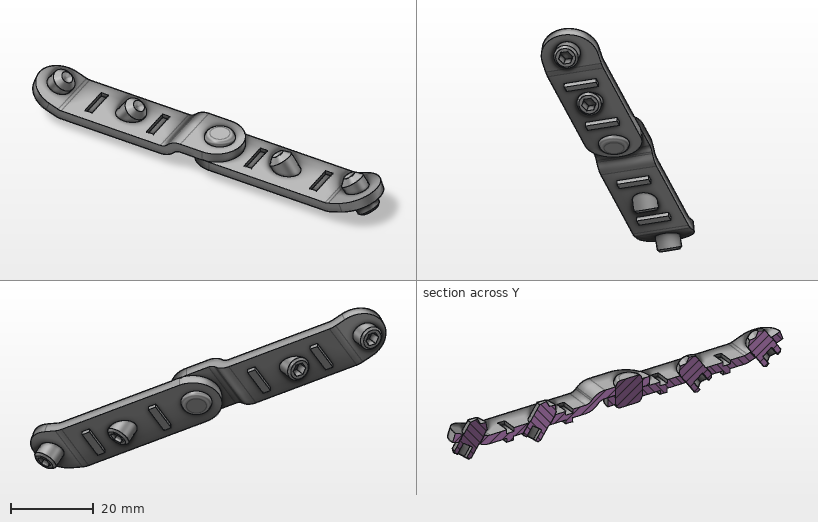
import cadquery as cq
import math

length = 95.1
plate_width = 14.0
thickness = 2.5
bend_radius = 2.5
end_radius = plate_width / 2

wing_angle = 20.0
left_bend_x = -36.8
right_bend_x = 36.3

step_x = -9.3
step_angle = 45.0

rivet_x = 3.2
end_overlap = 0.95
rivet_diameter = 7.5
rivet_projection = 1.3

tab_width = 2.0
tab_length = 8.0
tab_depth = 1.0
left_tab_xs = [-30.9, -13.9]
right_tab_xs = [13.2, 31.3]

screw_diameter = 6.0
screw_length = 10.0
screw_tilt = 35.0
cup_diameter = 3.0
cup_depth = 0.9
foot_chamfer = 0.6
socket_flats = 3.0
socket_depth = 3.0
inner_foot = (24.9, -2.2)
outer_foot = (44.8, -1.0)


def side_plane(x, z, heading):
    """Plane on the underside of a strip; its X axis follows the strip, tilted up by heading."""
    angle = math.radians(heading)
    return cq.Plane(
        origin=(x, 0, z),
        xDir=(math.cos(angle), 0, math.sin(angle)),
        normal=(-math.sin(angle), 0, math.cos(angle)),
    )


def straight_piece(plane, run):
    """Flat piece of strip that starts at the plane's origin."""
    return cq.Workplane(plane).rect(run, plate_width).extrude(thickness).translate(plane.xDir * (run / 2))


def round_ended_piece(plane, run):
    """Flat piece of strip whose far end is a half circle."""
    return (
        cq.Workplane(plane)
        .moveTo(0, -end_radius)
        .lineTo(run - end_radius, -end_radius)
        .threePointArc((run, 0), (run - end_radius, end_radius))
        .lineTo(0, end_radius)
        .close()
        .extrude(thickness)
    )


def bend_piece(plane, turn):
    """Bent piece of strip and the plane at its far end; a positive turn bends it upward."""
    if turn > 0:
        centre_height = thickness + bend_radius
    else:
        centre_height = -bend_radius
    axis_height = centre_height - thickness / 2
    section = cq.Plane(origin=plane.origin, xDir=plane.yDir, normal=plane.xDir)
    piece = (
        cq.Workplane(section)
        .center(0, thickness / 2)
        .rect(plate_width, thickness)
        .revolve(abs(turn), (0, axis_height), (-math.copysign(1, turn), axis_height))
    )
    centre = plane.toWorldCoords((0, 0, centre_height))
    far_plane = plane.rotated((0, -turn, 0))
    far_plane.origin = centre - far_plane.zDir * centre_height
    return piece, far_plane


def wing(bend_x):
    """Upward bend at bend_x and the round-ended wing that reaches the end of the part at +X."""
    bend, wing_plane = bend_piece(side_plane(bend_x, 0, 0), wing_angle)
    run = (length / 2 - wing_plane.origin.x) / wing_plane.xDir.x
    return bend.union(round_ended_piece(wing_plane, run))


def half_pierce(plate, tab_xs):
    """Press tabs down out of the plate."""
    for x in tab_xs:
        tab = cq.Workplane("XY").box(tab_width, tab_length, tab_depth, centered=(True, True, False))
        plate = plate.cut(tab.translate((x, 0, thickness - tab_depth)))
        plate = plate.union(tab.translate((x, 0, -tab_depth)))
    return plate


def make_left_plate():
    """Plate with a wing at its outer end and a raised inner end."""
    plate = wing(-left_bend_x).mirror("YZ")
    plate = plate.union(straight_piece(side_plane(left_bend_x, 0, 0), step_x - left_bend_x))
    lower_bend, ramp_plane = bend_piece(side_plane(step_x, 0, 0), step_angle)
    bends_rise = (2 * bend_radius + thickness) * (1 - math.cos(math.radians(step_angle)))
    ramp_run = (thickness - bends_rise) / math.sin(math.radians(step_angle))
    ramp_end = ramp_plane.origin + ramp_plane.xDir * ramp_run
    upper_bend, top_plane = bend_piece(side_plane(ramp_end.x, ramp_end.z, step_angle), -step_angle)
    tip_x = rivet_x - end_overlap + end_radius
    raised_end = round_ended_piece(top_plane, tip_x - top_plane.origin.x)
    for piece in [lower_bend, straight_piece(ramp_plane, ramp_run), upper_bend, raised_end]:
        plate = plate.union(piece)
    return half_pierce(plate, left_tab_xs)


def make_right_plate():
    """Plate with a wing at its outer end and a flat inner end."""
    tip_x = rivet_x + end_overlap - end_radius
    inner_end = round_ended_piece(side_plane(-right_bend_x, 0, 0), right_bend_x - tip_x).mirror("YZ")
    return half_pierce(wing(right_bend_x).union(inner_end), right_tab_xs)


def make_rivet():
    """Straight pin through both plates with rounded ends."""
    rivet_length = 2 * (thickness + rivet_projection)
    return (
        cq.Workplane("XY")
        .circle(rivet_diameter / 2)
        .extrude(rivet_length)
        .edges()
        .fillet(rivet_projection)
        .translate((rivet_x, 0, -rivet_projection))
    )


def place_screw(shape, side, foot):
    """Lean an upright shape toward the middle and move it to its foot; side is -1 at -X and 1 at +X."""
    foot_x, foot_z = foot
    leaning = shape.rotate((0, 0, 0), (0, 1, 0), -side * screw_tilt)
    return leaning.translate((side * foot_x, 0, foot_z))


def make_screw(side, foot):
    """Set screw with a cup point on top and a hexagon socket in its foot."""
    radius = screw_diameter / 2
    cup_radius = cup_diameter / 2
    shoulder = screw_length - (radius - cup_radius)
    screw = (
        cq.Workplane("XZ")
        .moveTo(0, 0)
        .lineTo(radius - foot_chamfer, 0)
        .lineTo(radius, foot_chamfer)
        .lineTo(radius, shoulder)
        .lineTo(cup_radius, screw_length)
        .lineTo(0, screw_length - cup_depth)
        .close()
        .revolve(360, (0, 0), (0, 1))
    )
    hexagon_half_angle = math.pi / 6
    across_corners = socket_flats / math.cos(hexagon_half_angle)
    socket = cq.Workplane(cq.Plane.XY().rotated((0, 0, 90))).polygon(6, across_corners).extrude(socket_depth)
    return place_screw(screw.cut(socket), side, foot)


def screw_hole(side, foot):
    """Round hole tool along a screw."""
    return place_screw(cq.Workplane("XY").circle(screw_diameter / 2).extrude(screw_length), side, foot)


rivet = make_rivet()
left_plate = make_left_plate().cut(rivet)
right_plate = make_right_plate().cut(rivet)
screws = []
for foot in [inner_foot, outer_foot]:
    left_plate = left_plate.cut(screw_hole(-1, foot))
    right_plate = right_plate.cut(screw_hole(1, foot))
    for side in [-1, 1]:
        screws.append(make_screw(side, foot))

result = cq.Compound.makeCompound(
    [left_plate.val(), right_plate.val(), rivet.val(), *[screw.val() for screw in screws]]
)